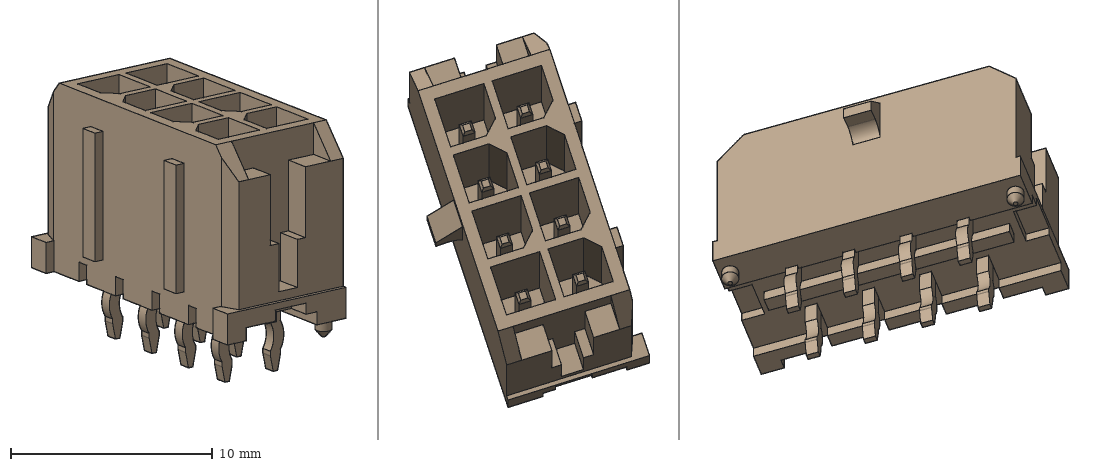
import cadquery as cq

overall_length = 16.15
body_length = 15.7
body_depth = 6.88
body_height = 9.92
end_slope_run = 1.4
end_slope_drop = 1.65
corner_cut_x = 0.94
corner_cut_y = 0.37

base_height = 1.62
pad_width = 1.21
front_projection = 0.5

columns = 4
pitch = 3.0
pin_size = 0.63

cavity_size = 2.57
key_chamfer = 0.71
cavity_floor = 2.08

end_wall_back = 0.79
end_wall_front = 0.99
wide_slot_back = 1.08
wide_slot_front = 1.1
wide_slot_floor = 4.59
narrow_slot_back = 0.58
narrow_slot_front = 0.57
narrow_slot_floor = 2.08

channel_height = 0.68
channel_back = 1.62
channel_front = 2.76
end_window_width = 1.9
end_window_height = 1.26
rib_width = 0.7
lead_slot_height = 1.0

peg_diameter = 0.85
peg_tip_diameter = 0.23
peg_length = 0.89
peg_tip_length = 0.37
peg_x = 7.5
peg_y = 2.47

guide_width = 1.0
guide_x = 3.35
guide_top = 8.3

latch_width = 1.44
latch_reach = 1.39
latch_top = 9.35
latch_nose_top = 7.72
latch_nose_bottom = 6.96
latch_undercut_top = 7.04
latch_undercut_start = 0.75
latch_undercut_mid = (0.26, 6.85)
latch_root = 6.5

pin_top = 7.27
pin_tip_size = 0.37
pin_tip_length = 0.25
pin_bend_start = 0.61
pin_bend_end = 2.1
pin_bend_offset = 0.21
pin_taper_start = 2.34
pin_end_width = 0.27
pin_length_below = 3.18

back_y = body_depth / 2
front_y = -back_y
pad_front_y = front_y - front_projection
half_body = body_length / 2
half_overall = overall_length / 2
core_x = half_body - end_slope_run
slope_bottom = body_height - end_slope_drop
column_x = [(i - (columns - 1) / 2) * pitch for i in range(columns)]
row_y = [pitch / 2, -pitch / 2]

cavity_keys = [[0, -1, 1, -1], [1, -1, 1, -1]]


def box(x0, x1, y0, y1, z0, z1):
    """Box between two opposite corners."""
    return cq.Workplane("XY").box(x1 - x0, y1 - y0, z1 - z0, centered=False).translate((x0, y0, z0))


def end_box(side, x_inner, x_outer, y0, y1, z0, z1):
    """Box at the left (side -1) or right (side 1) end."""
    x_low, x_high = sorted((side * x_inner, side * x_outer))
    return box(x_low, x_high, y0, y1, z0, z1)


def make_body():
    """Block with sloped upper ends and cut front corners."""
    elevation = [
        (-half_body, 0),
        (half_body, 0),
        (half_body, slope_bottom),
        (core_x, body_height),
        (-core_x, body_height),
        (-half_body, slope_bottom),
    ]
    plan = [
        (-half_body, back_y),
        (half_body, back_y),
        (half_body, front_y + corner_cut_y),
        (half_body - corner_cut_x, front_y),
        (corner_cut_x - half_body, front_y),
        (-half_body, front_y + corner_cut_y),
    ]
    block = cq.Workplane("XZ").polyline(elevation).close().extrude(body_depth / 2, both=True)
    return block.intersect(cq.Workplane("XY").polyline(plan).close().extrude(body_height))


def make_end_recess(side):
    """Recess that narrows in two steps on its way down one end."""
    upper = end_box(side, core_x, half_overall, front_y + end_wall_front, back_y - end_wall_back,
                    slope_bottom, body_height)
    wide = end_box(side, core_x, half_overall, -wide_slot_front, wide_slot_back,
                   wide_slot_floor, slope_bottom)
    narrow = end_box(side, core_x, half_overall, -narrow_slot_front, narrow_slot_back,
                     narrow_slot_floor, wide_slot_floor)
    return upper.union(wide).union(narrow)


def make_cavity(x, y, key):
    """Square plug cavity, with one front corner chamfered where it is keyed."""
    half = cavity_size / 2
    cavity = box(x - half, x + half, y - half, y + half, cavity_floor, body_height)
    if key == 0:
        return cavity
    corner = "|Z and <Y and " + ("<X" if key < 0 else ">X")
    return cavity.edges(corner).chamfer(key_chamfer)


def make_underside_channel():
    """Channel along the underside, leaving a rib in the middle of the core."""
    channel = box(-half_overall, half_overall, -channel_front, channel_back, 0, channel_height)
    return channel.cut(box(-core_x, core_x, -rib_width / 2, rib_width / 2, 0, channel_height))


def make_end_window(side):
    """Shallow window in the lower edge of one end."""
    half = end_window_width / 2
    return end_box(side, half_overall - pad_width, half_overall, -half, half,
                   channel_height, end_window_height)


def make_peg(side):
    """Round locating peg with a conical tip."""
    shank_bottom = peg_tip_length - peg_length
    radius = peg_diameter / 2
    tip_radius = peg_tip_diameter / 2
    profile = [(0, 0), (radius, 0), (radius, shank_bottom), (tip_radius, -peg_length), (0, -peg_length)]
    peg = cq.Workplane("XZ").polyline(profile).close().revolve(360, (0, 0), (0, 1))
    return peg.translate((side * peg_x, peg_y, 0))


def make_latch():
    """Wedge on the back wall with a curved undercut."""
    profile = (
        cq.Workplane("YZ")
        .moveTo(back_y, latch_top)
        .lineTo(back_y + latch_reach, latch_nose_top)
        .lineTo(back_y + latch_reach, latch_nose_bottom)
        .lineTo(back_y + latch_undercut_start, latch_undercut_top)
        .threePointArc((back_y + latch_undercut_mid[0], latch_undercut_mid[1]), (back_y, latch_root))
        .close()
    )
    return profile.extrude(latch_width / 2, both=True)


def make_pin(x, y):
    """Square contact with a pointed top and a bent, tapered solder tail."""
    half = pin_size / 2
    outward = 1 if y > 0 else -1
    bend_middle = -(pin_bend_start + pin_bend_end) / 2
    bulge = outward * pin_bend_offset
    tail = (
        cq.Workplane("YZ")
        .moveTo(-half, pin_top - pin_tip_length)
        .lineTo(-half, -pin_bend_start)
        .threePointArc((bulge - half, bend_middle), (-half, -pin_bend_end))
        .lineTo(-half, -pin_taper_start)
        .lineTo(-pin_end_width / 2, -pin_length_below)
        .lineTo(pin_end_width / 2, -pin_length_below)
        .lineTo(half, -pin_taper_start)
        .lineTo(half, -pin_bend_end)
        .threePointArc((bulge + half, bend_middle), (half, -pin_bend_start))
        .lineTo(half, pin_top - pin_tip_length)
        .close()
        .extrude(half, both=True)
    )
    tip = (
        cq.Workplane("XY", origin=(0, 0, pin_top - pin_tip_length))
        .rect(pin_size, pin_size)
        .workplane(offset=pin_tip_length)
        .rect(pin_tip_size, pin_tip_size)
        .loft(ruled=True)
    )
    return tail.union(tip).translate((x, y, 0))


def make_housing(pins):
    """Housing with its added pads, ribs, pegs and latch, cut by recesses and the pins' holes."""
    housing = make_body().union(make_latch())
    for side in (-1, 1):
        housing = housing.union(
            end_box(side, half_overall - pad_width, half_overall, pad_front_y, back_y, 0, base_height)
        )
        center = side * guide_x
        housing = housing.union(
            box(center - guide_width / 2, center + guide_width / 2, pad_front_y, front_y,
                base_height, guide_top)
        )
        housing = housing.cut(make_end_recess(side)).cut(make_end_window(side))
    housing = housing.cut(make_underside_channel())
    for y, keys in zip(row_y, cavity_keys):
        for x, key in zip(column_x, keys):
            housing = housing.cut(make_cavity(x, y, key))
    for x in column_x:
        pin_face_y = row_y[1] - pin_size / 2
        slot = box(x - pin_size / 2, x + pin_size / 2, front_y, pin_face_y, 0, lead_slot_height)
        housing = housing.cut(slot)
    for side in (-1, 1):
        housing = housing.union(make_peg(side))
    for pin in pins:
        housing = housing.cut(pin)
    return housing


pins = [make_pin(x, y) for y in row_y for x in column_x]
housing = make_housing(pins)
result = cq.Compound.makeCompound([housing.val(), *[pin.val() for pin in pins]])